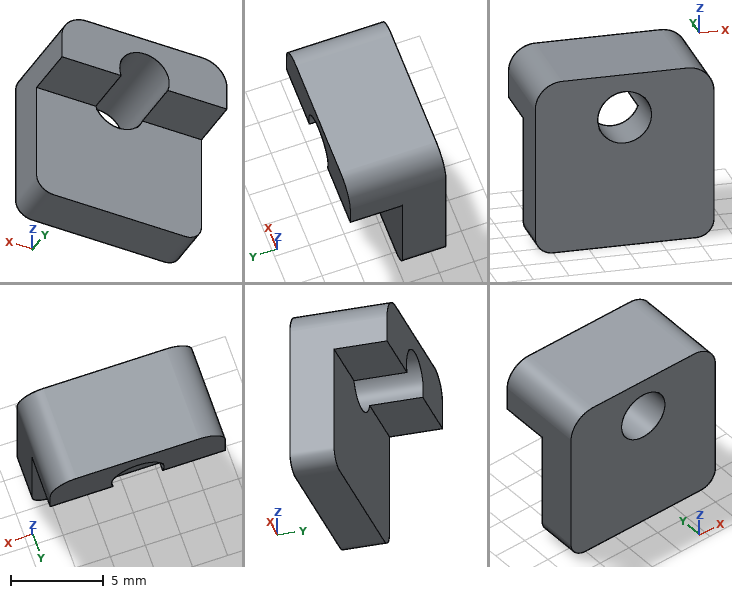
import cadquery as cq

width = 10.0
depth = 5.5
height = 10.0

plate_thickness = 2.5
block_height = 3.0

top_corner_radius = 1.5
bottom_corner_radius = 1.0

hole_diameter = 3.0
hole_drop = 2.5


def l_shaped_body():
    """L profile in the YZ plane, extruded across the width, front face at Y = 0."""
    profile = (
        cq.Workplane("YZ")
        .moveTo(0, 0)
        .lineTo(plate_thickness, 0)
        .lineTo(plate_thickness, height - block_height)
        .lineTo(depth, height - block_height)
        .lineTo(depth, height)
        .lineTo(0, height)
        .close()
    )
    return profile.extrude(width / 2, both=True)


def through_hole():
    """Cylinder along Y that runs through the plate and the block."""
    return (
        cq.Workplane("XZ")
        .center(0, height - hole_drop)
        .circle(hole_diameter / 2)
        .extrude(-depth)
    )


body = l_shaped_body()
body = body.faces(">Z").edges("|Y").fillet(top_corner_radius)
body = body.faces("<Z").edges("|Y").fillet(bottom_corner_radius)

result = body.cut(through_hole())